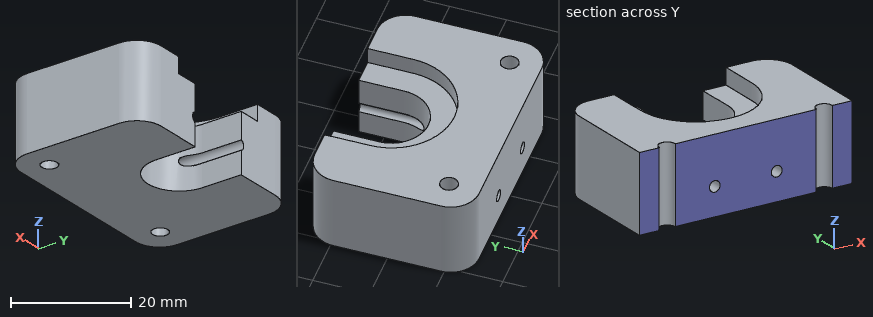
import cadquery as cq

length = 42.0
width = 29.0
height = 15.0
corner_radius = 5.0

slot_width = 12.9
recess_width = 22.0
recess_depth = 3.2
arc_centre_from_back = 8.05

mount_diameter = 3.1
mount_spacing = 31.0
mount_from_front = 5.5

pin_diameter = 2.0
pin_spacing = 12.22
pin_height = 5.55

back_y = width / 2
front_y = -width / 2
arc_centre_y = back_y - arc_centre_from_back


def u_cutter(opening_width, floor_z):
    """U-shaped prism open to the back, from floor_z up to the top face."""
    radius = opening_width / 2
    return (
        cq.Workplane("XY", origin=(0, 0, floor_z))
        .moveTo(-radius, back_y)
        .lineTo(-radius, arc_centre_y)
        .threePointArc((0, arc_centre_y - radius), (radius, arc_centre_y))
        .lineTo(radius, back_y)
        .close()
        .extrude(height - floor_z)
    )


block = (
    cq.Workplane("XY")
    .box(length, width, height, centered=(True, True, False))
    .edges("|Z")
    .fillet(corner_radius)
)

mount_y = front_y + mount_from_front
mount_holes = (
    cq.Workplane("XY")
    .pushPoints([(side * mount_spacing / 2, mount_y) for side in (-1, 1)])
    .circle(mount_diameter / 2)
    .extrude(height)
)

pin_holes = (
    cq.Workplane("XZ", origin=(0, front_y, 0))
    .pushPoints([(side * pin_spacing / 2, pin_height) for side in (-1, 1)])
    .circle(pin_diameter / 2)
    .extrude(-width)
)

result = (
    block
    .cut(u_cutter(slot_width, 0))
    .cut(u_cutter(recess_width, height - recess_depth))
    .cut(mount_holes)
    .cut(pin_holes)
)